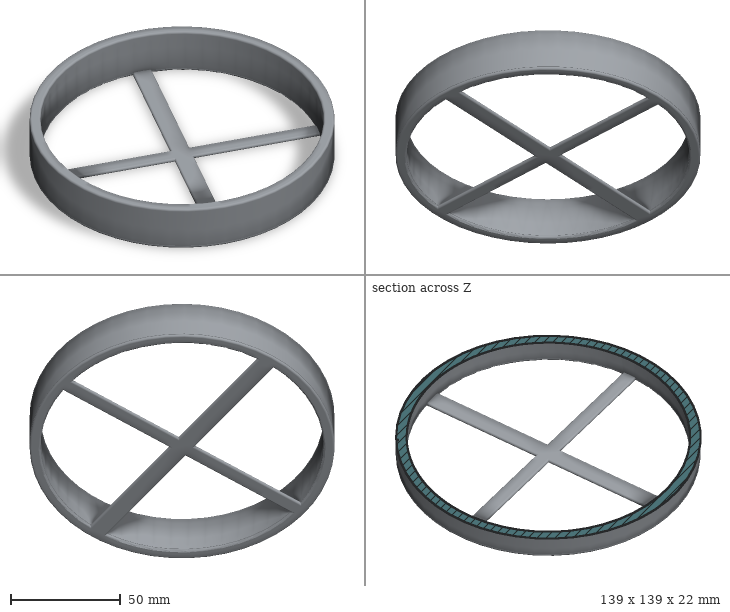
import cadquery as cq

outer_diameter = 139.0
inner_diameter = 129.0
base_thickness = 1.8
base_edge_radius = 0.89
x_bar_width = 9.0
y_bar_width = 7.0

overall_height = 22.0
wall_bottom = 1.4
rim_edge_radius = 1.0

outer_radius = outer_diameter / 2
inner_radius = inner_diameter / 2

bar_length = outer_radius + inner_radius


def annulus(bottom, height):
    """Plain ring of the common wall section, starting at the given level."""
    plane = cq.Workplane("XY").workplane(offset=bottom)
    return plane.circle(outer_radius).circle(inner_radius).extrude(height)


def bar(size_x, size_y):
    """Straight bar of the base thickness, centred on the ring axis."""
    return cq.Workplane("XY").box(size_x, size_y, base_thickness, centered=(True, True, False))


def make_base():
    """Annulus and cross joined flush, with the top and bottom outlines rounded."""
    base = annulus(0, base_thickness)
    base = base.union(bar(bar_length, x_bar_width))
    base = base.union(bar(y_bar_width, bar_length))
    return base.faces("<Z or >Z").edges().fillet(base_edge_radius)


def make_wall():
    """Upright wall with both edges of its rim rounded."""
    wall = annulus(wall_bottom, overall_height - wall_bottom)
    return wall.faces(">Z").edges().fillet(rim_edge_radius)


result = make_base().union(make_wall())